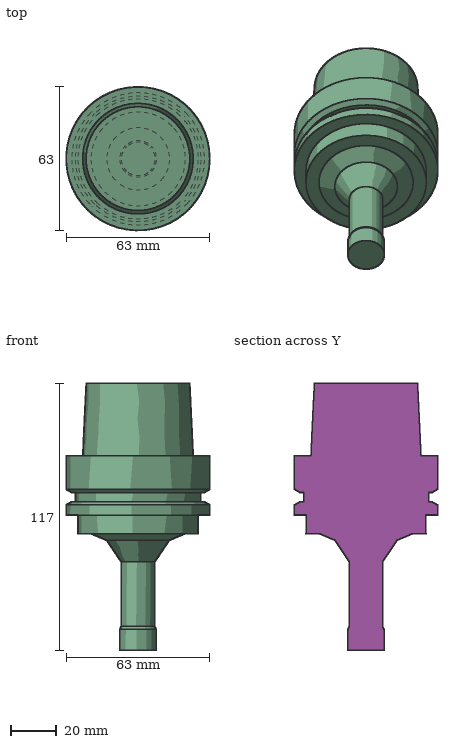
import cadquery as cq

total_height = 117.0
tip_collar_top = 9.1
tip_chamfer_top = 10.5
shank_top = 38.7
flare_break = 48.1
hub_bottom = 51.0
flange_bottom = 59.2
groove_bottom = 65.0
groove_top = 69.0
flange_top = 85.2
groove_chamfer_height = 1.4

tip_collar_diameter = 16.0
shank_diameter = 14.7
flare_break_diameter = 27.4
flare_top_diameter = 41.2
hub_diameter = 52.6
flange_diameter = 63.0
groove_diameter = 55.0
groove_mouth_diameter = 58.0
taper_base_diameter = 48.4
taper_top_diameter = 45.4

corners = [
    (tip_collar_diameter, 0),
    (tip_collar_diameter, tip_collar_top),
    (shank_diameter, tip_chamfer_top),
    (shank_diameter, shank_top),
    (flare_break_diameter, flare_break),
    (flare_top_diameter, hub_bottom),
    (hub_diameter, hub_bottom),
    (hub_diameter, flange_bottom),
    (flange_diameter, flange_bottom),
    (flange_diameter, groove_bottom - groove_chamfer_height),
    (groove_mouth_diameter, groove_bottom),
    (groove_diameter, groove_bottom),
    (groove_diameter, groove_top),
    (groove_mouth_diameter, groove_top),
    (flange_diameter, groove_top + groove_chamfer_height),
    (flange_diameter, flange_top),
    (taper_base_diameter, flange_top),
    (taper_top_diameter, total_height),
]

half_section = [(0, 0)]
for diameter, height in corners:
    half_section.append((diameter / 2, height))
half_section.append((0, total_height))

result = cq.Workplane("XZ").polyline(half_section).close().revolve(360, (0, 0, 0), (0, 1, 0))